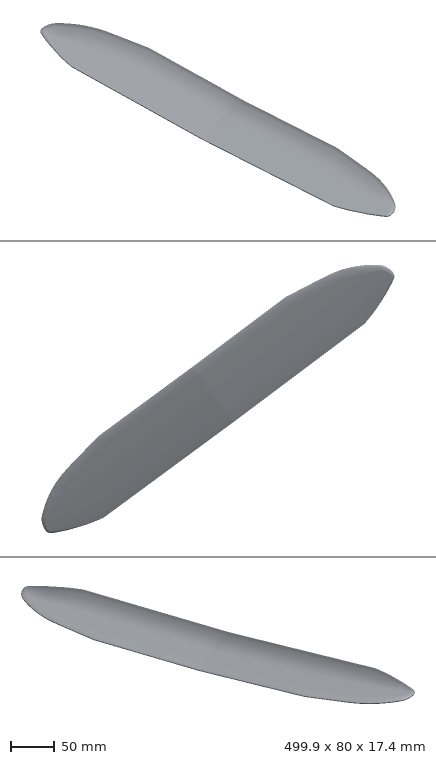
import cadquery as cq
import math

overall_length = 500.0
dihedral = 3.0
half_span = overall_length / (1 + math.cos(math.radians(dihedral)))
half_chord = 40.0
kink_x = 135.0
sweep_angle = 9.6
swept_length = 51.0
shoulder_radius = 120.0
shoulder_turn = 30.0
tip_rear_radius = 7.5
tip_rear_turn = 62.0
tail_end_angle = 12.0

thickness = 5.0
trailing_thickness = 1.5
taper_start_y = 5.5
nose_length = 10.5
tip_nose_length = 7.0
edge_thickness = 0.5
nose_points = 8
clearance = 5.0
root_overlap = 2.5
mitre_overrun = 5.0


def step(point, angle, distance):
    """Move from a point along a direction measured clockwise from +X."""
    a = math.radians(angle)
    return (point[0] + distance * math.cos(a), point[1] - distance * math.sin(a))


def arc_data(start, heading, radius, turn):
    """Clockwise tangent arc: centre, middle point, end point, and its sweep."""
    centre = step(start, heading + 90, radius)
    middle = step(centre, heading - 90 + turn / 2, radius)
    end = step(centre, heading - 90 + turn, radius)
    return {"start": start, "centre": centre, "middle": middle, "end": end, "turn": turn}


def tip_arcs():
    """Tangent arcs from the swept leading edge round to the trailing edge."""
    swept_end = step((kink_x, half_chord), sweep_angle, swept_length)
    shoulder = arc_data(swept_end, sweep_angle, shoulder_radius, shoulder_turn)

    heading = sweep_angle + shoulder_turn
    reach = half_span - shoulder["end"][0]
    front_radius = reach / (1 - math.sin(math.radians(heading)))
    tip_front = arc_data(shoulder["end"], heading, front_radius, 90 - heading)
    tip_rear = arc_data(tip_front["end"], 90, tip_rear_radius, tip_rear_turn)

    tail_start_angle = 90 - tip_rear_turn
    drop = tip_rear["end"][1] + half_chord
    angle_span = math.cos(math.radians(tail_end_angle)) - math.cos(math.radians(tail_start_angle))
    tail_radius = drop / angle_span
    tail = arc_data(tip_rear["end"], 90 + tip_rear_turn, tail_radius, tail_start_angle - tail_end_angle)
    return [shoulder, tip_front, tip_rear, tail]


def half_blank(arcs):
    """Wing section without its nose, trimmed to the planform."""
    half_t = thickness / 2
    half_tail = trailing_thickness / 2
    section = (
        cq.Workplane("YZ", origin=(-root_overlap, 0, 0))
        .polyline([
            (half_chord, -half_t), (half_chord, half_t), (taper_start_y, half_t),
            (-half_chord, half_tail), (-half_chord, -half_tail), (taper_start_y, -half_t),
        ])
        .close()
        .extrude(half_span + root_overlap)
    )
    outline = (
        cq.Workplane("XY", origin=(0, 0, -thickness))
        .moveTo(-root_overlap, half_chord)
        .lineTo(kink_x, half_chord)
        .lineTo(*arcs[0]["start"])
    )
    for arc in arcs:
        outline = outline.threePointArc(arc["middle"], arc["end"])
    planform = outline.lineTo(-root_overlap, -half_chord).close().extrude(2 * thickness)
    return section.intersect(planform)


def nose_waste(edge_point, inward, length):
    """Region outside one face of the elliptical nose, drawn square to the edge."""
    along = (-inward[1], inward[0], 0)
    plane = cq.Plane(origin=(*edge_point, 0), xDir=(*inward, 0), normal=along)
    half_edge = edge_thickness / 2
    rise = thickness / 2 - half_edge
    angle_end = math.acos(1 - length / nose_length)
    nose_curve = []
    for i in range(1, nose_points + 1):
        angle = angle_end * i / nose_points
        nose_curve.append((nose_length * (1 - math.cos(angle)), half_edge + rise * math.sin(angle)))
    return (
        cq.Workplane(plane)
        .moveTo(-clearance, half_edge)
        .lineTo(0, half_edge)
        .spline(nose_curve, includeCurrent=True)
        .lineTo(length, clearance)
        .lineTo(-clearance, clearance)
        .close()
    )


def cut_both_faces(wing, tool):
    return wing.cut(tool).cut(tool.mirror("XY"))


def cut_straight_nose(wing, start, end, start_overrun, end_overrun):
    length = math.dist(start, end)
    direction = ((end[0] - start[0]) / length, (end[1] - start[1]) / length)
    first = (start[0] - start_overrun * direction[0], start[1] - start_overrun * direction[1])
    inward = (direction[1], -direction[0])
    tool = nose_waste(first, inward, nose_length).extrude(length + start_overrun + end_overrun)
    return cut_both_faces(wing, tool)


def cut_arc_nose(wing, arc, length):
    start, centre = arc["start"], arc["centre"]
    radius = math.dist(start, centre)
    inward = ((centre[0] - start[0]) / radius, (centre[1] - start[1]) / radius)
    tool = nose_waste(start, inward, length).revolve(
        arc["turn"], (radius, 0, 0), (radius, 1, 0))
    return cut_both_faces(wing, tool)


arcs = tip_arcs()
kink = (kink_x, half_chord)
half = half_blank(arcs)
half = cut_straight_nose(half, (0, half_chord), kink, 2 * root_overlap, mitre_overrun)
half = cut_straight_nose(half, kink, arcs[0]["start"], mitre_overrun, 0)
for arc, length in zip(arcs, [nose_length, nose_length, tip_nose_length, tip_nose_length]):
    half = cut_arc_nose(half, arc, length)

half = half.translate((0, 0, thickness / 2))
tilted_half = half.rotate((0, 0, 0), (0, 1, 0), -dihedral / 2)
outboard = cq.Workplane("XY").box(2 * half_span, 4 * half_chord, 2 * half_span).translate((half_span, 0, 0))
tilted_half = tilted_half.intersect(outboard)
wing = tilted_half.union(tilted_half.mirror("YZ"))
result = wing.rotate((0, 0, 0), (0, 1, 0), dihedral / 2)